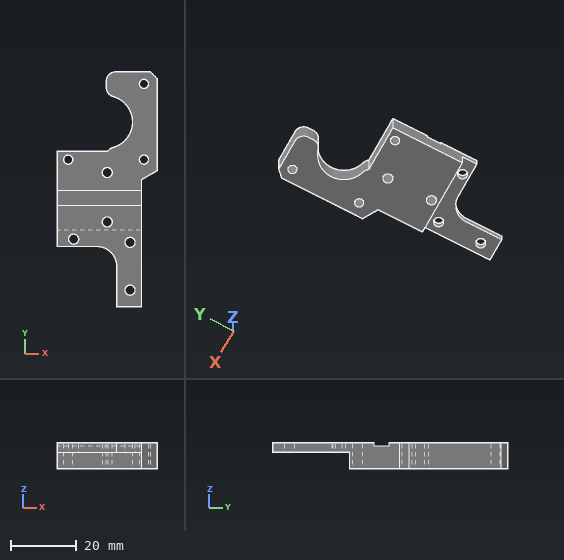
import cadquery as cq
import math

length = 71.55
width = 30.5
thickness = 8.0

body_width = 25.7
body_front_y = 18.3
body_back_y = 47.4
leg_left_x = 18.1
leg_fillet = 6.0
arm_front_y = 41.4
arm_slope = math.radians(30)
corner_chamfer = 2.15

hook_left_x = 14.9
hook_radius = 3.0
recess_radius = 8.0
recess_y = 56.25

flange_thickness = 3.0
step_y = 23.3
groove_front_y = 30.85
groove_width = 4.5
groove_depth = 1.0

small_hole_diameter = 2.7
small_hole_pitch = 23.05
corner_hole_x = 26.4
corner_hole_y = 44.8
large_hole_diameter = 3.0
middle_hole_x = 15.25
leg_hole_x = 22.2

small_holes = [
    (corner_hole_x, corner_hole_y),
    (corner_hole_x - small_hole_pitch, corner_hole_y),
    (corner_hole_x, corner_hole_y + small_hole_pitch),
]
large_holes = [
    (middle_hole_x, 40.85),
    (middle_hole_x, 25.8),
    (5.0, 20.6),
    (leg_hole_x, 19.6),
    (leg_hole_x, 5.1),
]


def make_plate():
    """Full-thickness plate with the hook, recess and leg."""
    blend_x = hook_left_x + hook_radius
    centre_distance = recess_radius + hook_radius
    blend_rise = math.sqrt(centre_distance**2 - hook_radius**2)
    recess_share = recess_radius / centre_distance
    tangent_x = hook_left_x + hook_radius * recess_share
    tangent_rise = blend_rise * recess_share

    lower_blend_y = recess_y - blend_rise
    body_rise = body_back_y - lower_blend_y
    lower_end_x = blend_x - math.sqrt(hook_radius**2 - body_rise**2)
    arm_slope_drop = (width - body_width) * math.tan(arm_slope)

    return (
        cq.Workplane("XY")
        .moveTo(leg_left_x, 0)
        .lineTo(body_width, 0)
        .lineTo(body_width, arm_front_y - arm_slope_drop)
        .lineTo(width, arm_front_y)
        .lineTo(width, length - corner_chamfer)
        .lineTo(width - corner_chamfer, length)
        .lineTo(blend_x, length)
        .radiusArc((hook_left_x, length - hook_radius), -hook_radius)
        .lineTo(hook_left_x, recess_y + blend_rise)
        .radiusArc((tangent_x, recess_y + tangent_rise), -hook_radius)
        .threePointArc(
            (hook_left_x + recess_radius, recess_y),
            (tangent_x, recess_y - tangent_rise),
        )
        .radiusArc((lower_end_x, body_back_y), -hook_radius)
        .lineTo(0, body_back_y)
        .lineTo(0, body_front_y)
        .lineTo(leg_left_x - leg_fillet, body_front_y)
        .radiusArc((leg_left_x, body_front_y - leg_fillet), leg_fillet)
        .close()
        .extrude(thickness)
    )


def make_flange_relief():
    """Material below the thin front flange."""
    return cq.Workplane("XY").box(width, step_y, thickness - flange_thickness, centered=False)


def make_groove():
    """Shallow groove along X in the top face."""
    return (
        cq.Workplane("XY")
        .box(width, groove_width, groove_depth, centered=False)
        .translate((0, groove_front_y, thickness - groove_depth))
    )


def make_holes(points, diameter):
    """Vertical cylinders through the whole plate."""
    return cq.Workplane("XY").pushPoints(points).circle(diameter / 2).extrude(thickness)


result = (
    make_plate()
    .cut(make_flange_relief())
    .cut(make_groove())
    .cut(make_holes(small_holes, small_hole_diameter))
    .cut(make_holes(large_holes, large_hole_diameter))
)